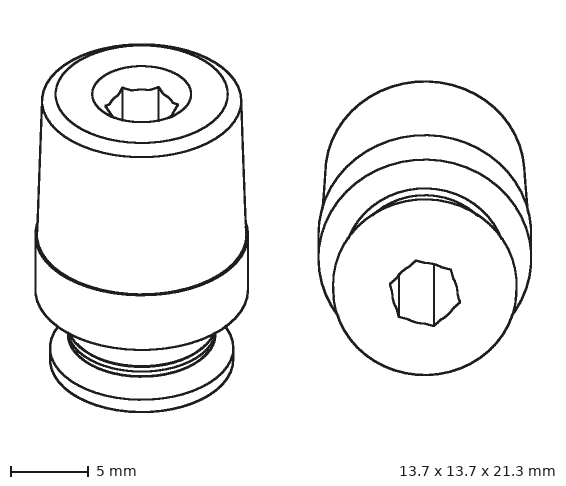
import cadquery as cq
import math

height = 21.3
collar_radius = 13.7 / 2
taper_base_radius = 6.73
taper_top_radius = 6.41
top_face_radius = 5.54
skirt_radius = 5.22
barrel_radius = 9.5 / 2
neck_radius = 7.4 / 2
flange_radius = 11.8 / 2
flange_bottom_radius = 3.54

flange_bevel_top = 0.47
flange_edge_round = 0.15
flange_top = 1.51
neck_fillet = 0.35
ring_bottom = 2.43
ring_chamfer = 0.13
groove_center = 3.13
groove_depth = 0.21
skirt_bottom = 5.13
collar_bottom = 6.05
collar_top = 10.3
taper_top = 20.79

hex_across_flats = 4.05
bore_diameter = 4.2
mouth_diameter = 6.37


def revolved_body():
    """Revolve the half profile of the body about the Z axis."""
    fillet_inset = neck_fillet * (1 - math.sqrt(0.5))
    edge_inset = flange_edge_round * (1 - math.sqrt(0.5))
    return (
        cq.Workplane("XZ")
        .moveTo(0, 0)
        .lineTo(flange_bottom_radius, 0)
        .lineTo(flange_radius - flange_edge_round, flange_bevel_top)
        .threePointArc(
            (flange_radius - edge_inset, flange_bevel_top + edge_inset),
            (flange_radius, flange_bevel_top + flange_edge_round),
        )
        .lineTo(flange_radius, flange_top)
        .lineTo(neck_radius + neck_fillet, flange_top)
        .threePointArc(
            (neck_radius + fillet_inset, flange_top + fillet_inset),
            (neck_radius, flange_top + neck_fillet),
        )
        .lineTo(neck_radius, ring_bottom)
        .lineTo(barrel_radius - ring_chamfer, ring_bottom)
        .lineTo(barrel_radius, ring_bottom + ring_chamfer)
        .lineTo(barrel_radius, groove_center - groove_depth)
        .lineTo(barrel_radius - groove_depth, groove_center)
        .lineTo(barrel_radius, groove_center + groove_depth)
        .lineTo(barrel_radius, skirt_bottom)
        .lineTo(skirt_radius, skirt_bottom)
        .lineTo(collar_radius, collar_bottom)
        .lineTo(collar_radius, collar_top)
        .lineTo(taper_base_radius, collar_top)
        .lineTo(taper_top_radius, taper_top)
        .lineTo(top_face_radius, height)
        .lineTo(0, height)
        .close()
        .revolve(360, (0, 0, 0), (0, 1, 0))
    )


def hex_bore():
    """Through hexagon with corners on the Y axis, relieved by a round hole."""
    corner_diameter = hex_across_flats / math.cos(math.radians(30))
    hexagon = (
        cq.Workplane("XY")
        .polygon(6, corner_diameter)
        .extrude(height)
        .rotate((0, 0, 0), (0, 0, 1), 90)
    )
    round_hole = cq.Workplane("XY").circle(bore_diameter / 2).extrude(height)
    return hexagon.union(round_hole)


def mouth_countersink():
    """45 degree cone opening at the top face."""
    mouth_radius = mouth_diameter / 2
    return cq.Workplane("XY").add(
        cq.Solid.makeCone(
            mouth_radius, 0, mouth_radius, cq.Vector(0, 0, height), cq.Vector(0, 0, -1)
        )
    )


result = revolved_body().cut(hex_bore()).cut(mouth_countersink())